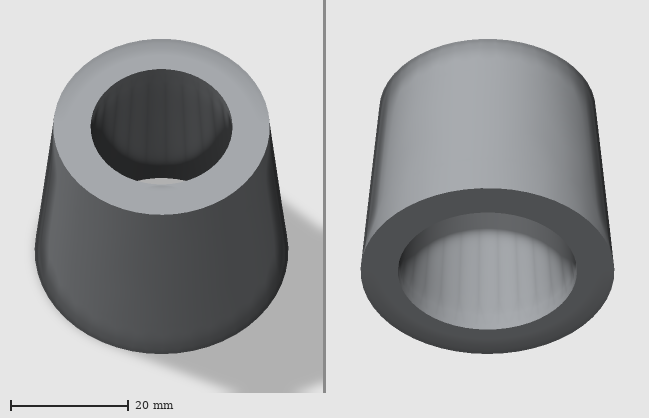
import cadquery as cq

height = 36.25
base_diameter = 43.2
top_diameter = 36.85
top_bore_diameter = 24.15

base_radius = base_diameter / 2
top_radius = top_diameter / 2
top_bore_radius = top_bore_diameter / 2
wall = top_radius - top_bore_radius
base_bore_radius = base_radius - wall

result = (
    cq.Workplane("XZ")
    .moveTo(base_bore_radius, 0)
    .lineTo(base_radius, 0)
    .lineTo(top_radius, height)
    .lineTo(top_bore_radius, height)
    .close()
    .revolve(360, (0, 0, 0), (0, 1, 0))
)